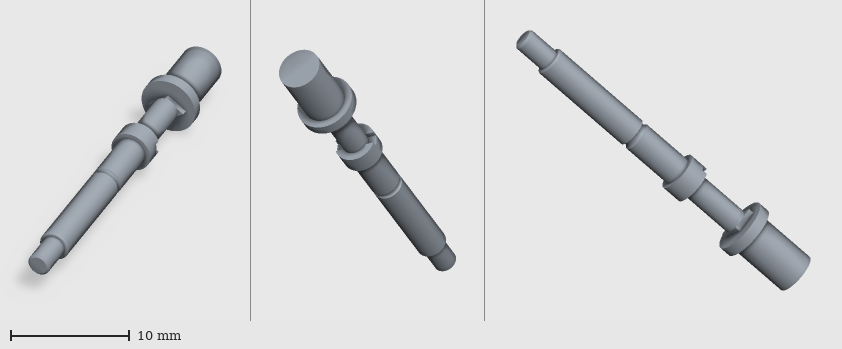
import cadquery as cq

head_length = 5.5
flange_thickness = 1.0
key_thickness = 0.5
neck_taper_length = 0.4

collar_length = 1.8
tip_length = 3.0
total_length = 31.8

flange_end = head_length + flange_thickness
key_end = flange_end + key_thickness
neck_taper_end = key_end + neck_taper_length
collar_start = 12.0
collar_end = collar_start + collar_length
groove_centre = 18.8
shaft_end = total_length - tip_length

head_diameter = 3.7
flange_diameter = 5.0
neck_root_diameter = 2.2
neck_diameter = 2.25
collar_diameter = 3.6
shaft_diameter = 2.65
tip_diameter = 2.0

key_width = 3.3
key_height = 2.2

slot_width = 1.0
slot_depth = 0.5
groove_width = 0.6
groove_depth = 0.2
shaft_end_radius = 0.2
tip_chamfer = 0.2


def frustum(start, end, start_diameter, end_diameter):
    """Solid of revolution about Y between two stations."""
    outline = [
        (0, -start),
        (start_diameter / 2, -start),
        (end_diameter / 2, -end),
        (0, -end),
    ]
    return cq.Workplane("XY").polyline(outline).close().revolve(360, (0, 0, 0), (0, 1, 0))


def cylinder(start, end, diameter):
    """Cylinder about Y between two stations."""
    return frustum(start, end, diameter, diameter)


def make_head():
    """Cylindrical head with its flange."""
    head = cylinder(0, head_length, head_diameter)
    flange = cylinder(head_length, flange_end, flange_diameter)
    return head.union(flange)


def make_key():
    """Diamond-shaped key, wide along X, joining the flange to the neck."""
    corners = [
        (key_width / 2, 0),
        (0, key_height / 2),
        (-key_width / 2, 0),
        (0, -key_height / 2),
    ]
    plane = cq.Workplane("XZ", origin=(0, -flange_end, 0))
    return plane.polyline(corners).close().extrude(key_thickness)


def make_neck():
    """Neck that narrows slightly where it meets the key."""
    taper = frustum(key_end, neck_taper_end, neck_root_diameter, neck_diameter)
    return taper.union(cylinder(neck_taper_end, collar_end, neck_diameter))


def make_collar():
    """Collar with a slot across its flange-side face, running along X."""
    collar = cylinder(collar_start, collar_end, collar_diameter)
    slot_centre = -(collar_start + slot_depth / 2)
    slot = cq.Workplane("XY").box(collar_diameter, slot_depth, slot_width)
    return collar.cut(slot.translate((0, slot_centre, 0)))


def make_groove_cutter():
    """Ring whose round inner profile leaves a groove of the given width and depth."""
    profile_radius = (groove_width**2 / 4 + groove_depth**2) / (2 * groove_depth)
    profile_centre = shaft_diameter / 2 - groove_depth + profile_radius
    profile = cq.Workplane("XY").center(profile_centre, -groove_centre).circle(profile_radius)
    return profile.revolve(360, (-profile_centre, 0, 0), (-profile_centre, 1, 0))


def make_shaft():
    """Shaft with a round groove and a rounded tip-side end."""
    shaft = cylinder(collar_end, shaft_end, shaft_diameter)
    shaft = shaft.faces("<Y").edges().fillet(shaft_end_radius)
    return shaft.cut(make_groove_cutter())


def make_tip():
    """Narrow tip with a chamfered end."""
    return cylinder(shaft_end, total_length, tip_diameter).faces("<Y").chamfer(tip_chamfer)


result = (
    make_head()
    .union(make_key())
    .union(make_neck())
    .union(make_collar())
    .union(make_shaft())
    .union(make_tip())
)